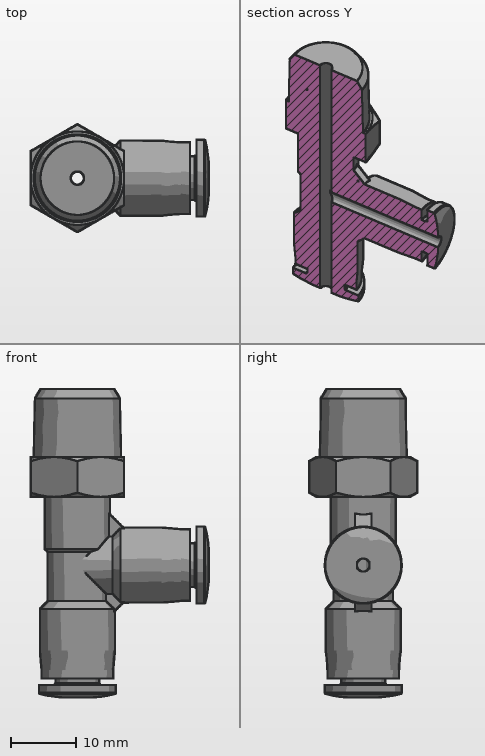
import cadquery as cq
import math

total_height = 47.2
branch_height = 20.25
branch_reach = 20.1
bore_dia = 2.0

socket_r = 5.75
socket_tip_r = 11.0 / 2
ring_r = 5.9
ring_face_r = 4.75 / 2
ring_edge_chamfer = 0.2
neck_r = 6.75 / 2
neck_foot = 0.15
ring_dome = 0.55
dome_bulge = 0.1
ring_top = 1.95
socket_start = 2.9
tip_band_end = 4.2
taper_end = 7.17
socket_end = 13.55
core_r = 4.6
shoulder_end = socket_end + socket_r - core_r

stem_r = 5.0
stem_start = 22.7
stem_taper = 0.42
hex_start = 30.7
hex_top = 36.75
hex_sides = 6
hex_flats = 14.3
hex_chamfer_angle = 30.0
plug_base_r = 6.7
plug_r = 6.5
plug_tip_r = 5.6
plug_chamfer_height = 1.45

gusset_reach = 12.75
gusset_thickness = 2.55


def make_socket(length):
    """Push-in socket with release ring, from its end at Z = 0 up to a core of the given length."""
    rim_r = ring_r - ring_edge_chamfer / 2
    mid_r = (rim_r + ring_face_r) / 2
    mid_z = ring_dome / 2 - dome_bulge
    profile = (
        cq.Workplane("XZ")
        .lineTo(ring_face_r, 0)
        .threePointArc((mid_r, mid_z), (rim_r, ring_dome))
        .lineTo(ring_r, ring_dome + ring_edge_chamfer)
        .lineTo(ring_r, ring_top)
        .lineTo(neck_r + neck_foot, ring_top)
        .lineTo(neck_r, ring_top + 2 * neck_foot)
        .lineTo(neck_r, socket_start)
        .lineTo(socket_tip_r, socket_start)
        .lineTo(socket_tip_r, tip_band_end)
        .lineTo(socket_r, taper_end)
        .lineTo(socket_r, socket_end)
        .lineTo(core_r, shoulder_end)
        .lineTo(core_r, length)
        .lineTo(0, length)
        .close()
    )
    return profile.revolve(360, (0, 0, 0), (0, 1, 0))


def make_stem_and_plug():
    """Stem above the branch and the tapered plug at the top."""
    profile = (
        cq.Workplane("XZ")
        .moveTo(0, stem_start - stem_taper)
        .lineTo(core_r, stem_start - stem_taper)
        .lineTo(stem_r, stem_start)
        .lineTo(stem_r, hex_top)
        .lineTo(plug_base_r, hex_top)
        .lineTo(plug_r, total_height - plug_chamfer_height)
        .lineTo(plug_tip_r, total_height)
        .lineTo(0, total_height)
        .close()
    )
    return profile.revolve(360, (0, 0, 0), (0, 1, 0))


def make_hexagon():
    """Hexagon with flats on -X and +X and its corners turned down at both ends."""
    half_sector = 180 / hex_sides
    flat_r = hex_flats / 2
    corner_r = flat_r / math.cos(math.radians(half_sector))
    drop = (corner_r - flat_r) * math.tan(math.radians(hex_chamfer_angle))
    prism = (
        cq.Workplane("XY", origin=(0, 0, hex_start))
        .polygon(hex_sides, 2 * corner_r)
        .extrude(hex_top - hex_start)
        .rotate((0, 0, 0), (0, 0, 1), half_sector)
    )
    envelope = (
        cq.Workplane("XZ")
        .moveTo(0, hex_start)
        .lineTo(flat_r, hex_start)
        .lineTo(corner_r, hex_start + drop)
        .lineTo(corner_r, hex_top - drop)
        .lineTo(flat_r, hex_top)
        .lineTo(0, hex_top)
        .close()
        .revolve(360, (0, 0, 0), (0, 1, 0))
    )
    return prism.intersect(envelope)


def make_gusset():
    """Plate in the XZ plane with 45 degree edges above and below the branch."""
    return (
        cq.Workplane("XZ", origin=(0, 0, branch_height))
        .polyline([(0, -gusset_reach), (gusset_reach, 0), (0, gusset_reach)])
        .close()
        .extrude(gusset_thickness / 2, both=True)
    )


def lay_along_branch(body):
    """Turn a body built up from Z = 0 so that its lower end becomes the branch end at +X."""
    return body.rotate((0, 0, 0), (0, 1, 0), -90).translate((branch_reach, 0, branch_height))


run = make_socket(stem_start)
branch = lay_along_branch(make_socket(branch_reach))
body = run.union(make_stem_and_plug()).union(make_hexagon()).union(branch).union(make_gusset())

run_bore = cq.Workplane("XY").circle(bore_dia / 2).extrude(total_height)
branch_bore = lay_along_branch(cq.Workplane("XY").circle(bore_dia / 2).extrude(branch_reach))
result = body.cut(run_bore).cut(branch_bore)